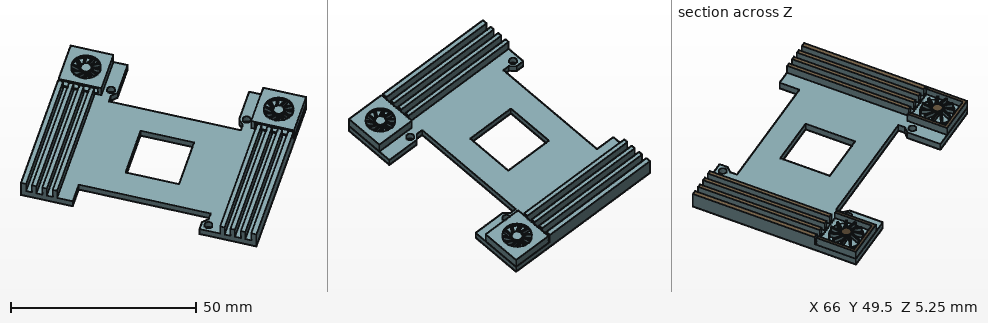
import cadquery as cq
import math

plate_width = 66.0
plate_depth = 49.5
plate_thickness = 2.2
arm_width = 14.5
bridge_front = 6.0
bridge_depth = 30.0
window_side = 15.0

tab_width = 1.45
rear_tab_length = 10.0
front_tab_length = 2.5
screw_diameter = 2.2
screw_from_side = 14.0
screw_from_tab_end = 0.5

fin_height = 3.05
fin_count = 4
fin_pitch = 2.9
fin_width = 1.25
outer_fin_width = 1.45
fin_length = 36.95

blower_side = 12.0
blower_height = fin_height
blower_wall = 1.0
blower_skin = 0.5
inlet_diameter = 8.0

disc_diameter = 9.5
disc_thickness = 0.45
hub_diameter = 3.0
hub_height = 1.85
blade_count = 11
blade_tip_diameter = 9.0
blade_thickness = 0.45
blade_offset = 0.5
blade_lid_gap = 0.2

half_width = plate_width / 2
blower_centre_x = half_width - blower_side / 2
blower_centre_y = plate_depth - blower_side / 2
rear_screw_y = plate_depth - rear_tab_length + screw_from_tab_end
front_screw_y = front_tab_length - screw_from_tab_end
screw_x = half_width - screw_from_side


def box(x_min, y_min, z_min, size_x, size_y, size_z):
    """Block placed by its lowest corner."""
    return cq.Workplane("XY").box(size_x, size_y, size_z, centered=False).translate((x_min, y_min, z_min))


def cylinder(diameter, z_min, height):
    """Upright cylinder on the Z axis."""
    return cq.Workplane("XY").workplane(offset=z_min).circle(diameter / 2).extrude(height)


def make_tab(edge_y, length, inward):
    """Right-hand tab; inward is +1 or -1, the Y direction from its outer edge to the bridge."""
    root_x = half_width - arm_width
    tip_x = root_x - tab_width
    straight_end = edge_y + inward * length
    slope_end = straight_end + inward * tab_width
    outline = [
        (half_width, edge_y),
        (tip_x, edge_y),
        (tip_x, straight_end),
        (root_x, slope_end),
        (half_width, slope_end),
    ]
    return cq.Workplane("XY").polyline(outline).close().extrude(plate_thickness)


def make_right_fins():
    """Fins of the right arm; the outermost is wider and flush with the plate side."""
    fins = cq.Workplane("XY")
    for index in range(fin_count):
        width = outer_fin_width if index == 0 else fin_width
        inner_x = half_width - outer_fin_width - index * fin_pitch
        fins = fins.add(box(inner_x, 0, plate_thickness, width, fin_length, fin_height))
    return fins.combine()


def make_plate():
    """Base plate with tabs, fins, square window and three screw holes."""
    bridge = box(-half_width, bridge_front, 0, plate_width, bridge_depth, plate_thickness)
    right_arm = box(half_width - arm_width, 0, 0, arm_width, plate_depth, plate_thickness)
    rear_tab = make_tab(plate_depth, rear_tab_length, -1)
    front_tab = make_tab(0, front_tab_length, 1)

    right_half = right_arm.union(rear_tab).union(make_right_fins())
    plate = bridge.union(right_half).union(right_half.mirror("YZ")).union(front_tab)

    window_centre_y = bridge_front + bridge_depth / 2
    window = (
        cq.Workplane("XY")
        .center(0, window_centre_y)
        .rect(window_side, window_side)
        .extrude(plate_thickness)
    )
    screw_holes = (
        cq.Workplane("XY")
        .pushPoints([(-screw_x, rear_screw_y), (screw_x, rear_screw_y), (screw_x, front_screw_y)])
        .circle(screw_diameter / 2)
        .extrude(plate_thickness)
    )
    return plate.cut(window).cut(screw_holes)


def make_impeller():
    """Disc with a hub and straight blades set off the axis, ending on a common tip circle."""
    blade_bottom = blower_skin + disc_thickness
    blade_height = blower_height - blower_skin - blade_lid_gap - blade_bottom
    disc = cylinder(disc_diameter, blower_skin, disc_thickness)
    hub = cylinder(hub_diameter, blade_bottom, hub_height)
    blade_start = math.sqrt((hub_diameter / 2) ** 2 - (blade_offset + blade_thickness) ** 2)
    blade_length = blade_tip_diameter / 2 - blade_start
    blade = box(blade_start, blade_offset, blade_bottom, blade_length, blade_thickness, blade_height)
    blade = blade.intersect(cylinder(blade_tip_diameter, blade_bottom, blade_height))
    impeller = disc.union(hub)
    for index in range(blade_count):
        angle = 360 / blade_count * index
        impeller = impeller.union(blade.rotate((0, 0, 0), (0, 0, 1), angle))
    return impeller


def make_blower(centre_x):
    """Hollow housing with a round inlet in the lid, an outlet at the front and its impeller."""
    half_side = blower_side / 2
    cavity_width = blower_side - 2 * blower_wall
    cavity_depth = blower_side - blower_wall
    cavity_height = blower_height - 2 * blower_skin
    housing = box(-half_side, -half_side, 0, blower_side, blower_side, blower_height)
    cavity = box(-cavity_width / 2, -half_side, blower_skin, cavity_width, cavity_depth, cavity_height)
    inlet = cylinder(inlet_diameter, blower_height - blower_skin, blower_skin)
    blower = housing.cut(cavity).cut(inlet).union(make_impeller())
    return blower.translate((centre_x, blower_centre_y, plate_thickness))


plate = make_plate()
blowers = [make_blower(side * blower_centre_x) for side in (-1, 1)]

result = cq.Compound.makeCompound([plate.val(), *[blower.val() for blower in blowers]])